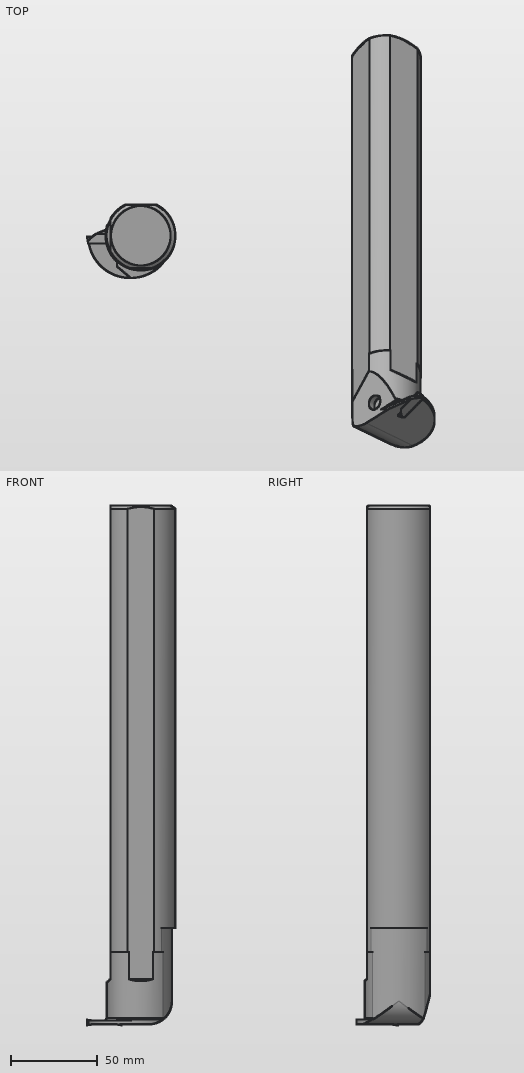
import cadquery as cq
import math

TOTAL_LENGTH = 300.02

SHANK_RADIUS = 20.0
END_CHAMFER_WIDTH = 2.8
END_CHAMFER_HEIGHT = 2.0
FLAT_LEFT = 17.5
FLAT_FRONT = 18.5
FLAT_BACK = 18.0
FLAT_END_Z = 26.7

HEAD_RADIUS = 19.75
HEAD_TOP_Z = 42.3
COLLAR_WIDTH = 0.6
COLLAR_RADIUS = HEAD_RADIUS + COLLAR_WIDTH
COLLAR_HEIGHT = 1.3

TIP_X = -31.0
BLADE_CENTER_X = -6.0
BLADE_RADIUS = 24.49
BLADE_BOTTOM_Z = 0.5
BLADE_TOP_Z = 2.8
LEDGE_TOP_Z = 3.4
LEDGE_START = (-13.8, -17.7)
LEDGE_ANGLE = 40.0

RELIEF_RADIUS = 24.05
RELIEF_TOP_Z = 56.0
HEEL_RADIUS = 13.5

GULLET_Y = 9.65
GULLET_SLOPE_X = 0.24
GULLET_SLOPE_Z = 0.365
GULLET_HOLE_DIAMETER = 8.5
GULLET_HOLE_DEPTH = 5.0
GULLET_HOLE_X = -5.0
GULLET_HOLE_Z = 9.0

INSERT_LENGTH = 20.0
INSERT_SEAT_Y = -4.6
INSERT_TOP_Y = 1.0
EDGE_Y = -0.5
EDGE_WIDTH = 3.2
EDGE_LENGTH = 3.0
EDGE_HEIGHT = 2.6
FRONT_CLEARANCE = 0.6
RAKE_LENGTH = 5.0

JAW_TIP_X = TIP_X + RAKE_LENGTH
JAW_ANGLE = 23.0

CUT_REACH = 60.0


def cylinder(radius, bottom, top, center_x=0.0):
    return cq.Workplane("XY", origin=(center_x, 0, bottom)).circle(radius).extrude(top - bottom)


def cut_flat(bar, distance, end_z, angle):
    """Cut a flat at `distance` from the axis, facing -X turned by `angle`, ending in a 45 degree slope."""
    depth = CUT_REACH - distance
    profile = [
        (-distance, end_z),
        (-distance, TOTAL_LENGTH),
        (-CUT_REACH, TOTAL_LENGTH),
        (-CUT_REACH, end_z - depth),
    ]
    cutter = cq.Workplane("XZ").polyline(profile).close().extrude(CUT_REACH, both=True)
    return bar.cut(cutter.rotate((0, 0, 0), (0, 0, 1), angle))


def make_bar():
    """Shank, head and collar with the flats."""
    end_radius = SHANK_RADIUS - END_CHAMFER_WIDTH
    collar_top_z = BLADE_TOP_Z + COLLAR_HEIGHT
    outline = [
        (0, BLADE_BOTTOM_Z),
        (COLLAR_RADIUS, BLADE_BOTTOM_Z),
        (COLLAR_RADIUS, BLADE_TOP_Z),
        (HEAD_RADIUS, collar_top_z),
        (HEAD_RADIUS, HEAD_TOP_Z),
        (SHANK_RADIUS, HEAD_TOP_Z),
        (SHANK_RADIUS, TOTAL_LENGTH - END_CHAMFER_HEIGHT),
        (end_radius, TOTAL_LENGTH),
        (0, TOTAL_LENGTH),
    ]
    bar = cq.Workplane("XZ").polyline(outline).close().revolve(360, (0, 0), (0, 1))
    bar = cut_flat(bar, FLAT_LEFT, FLAT_END_Z, 0)
    bar = cut_flat(bar, FLAT_FRONT, FLAT_END_Z, 90)
    back = cq.Workplane("XY").box(2 * CUT_REACH, CUT_REACH, 2 * TOTAL_LENGTH)
    back = back.translate((0, FLAT_BACK + CUT_REACH / 2, 0))
    bar = bar.cut(back)
    ring = cylinder(CUT_REACH, 0, RELIEF_TOP_Z).cut(
        cylinder(RELIEF_RADIUS, 0, RELIEF_TOP_Z, BLADE_CENTER_X)
    )
    return bar.cut(ring)


def make_blade():
    """Eccentric disc with a thicker part on its +X side."""
    disc = cylinder(BLADE_RADIUS, BLADE_BOTTOM_Z, BLADE_TOP_Z, BLADE_CENTER_X)
    ledge = cylinder(BLADE_RADIUS, BLADE_TOP_Z, LEDGE_TOP_Z, BLADE_CENTER_X)
    start_x, start_y = LEDGE_START
    drop = (CUT_REACH - start_x) * math.tan(math.radians(LEDGE_ANGLE))
    outline = [(start_x, CUT_REACH), LEDGE_START, (CUT_REACH, start_y - drop), (CUT_REACH, CUT_REACH)]
    keep = cq.Workplane("XY").polyline(outline).close().extrude(CUT_REACH)
    return disc.union(ledge.intersect(keep))


def jaw_cutter():
    """Block above the insert seat in front of the jaw and above the sloping edge of the jaw."""
    rise = (CUT_REACH - JAW_TIP_X) * math.tan(math.radians(JAW_ANGLE))
    outline = [
        (-CUT_REACH, INSERT_SEAT_Y),
        (JAW_TIP_X, INSERT_SEAT_Y),
        (JAW_TIP_X, INSERT_TOP_Y),
        (CUT_REACH, INSERT_TOP_Y + rise),
        (-CUT_REACH, INSERT_TOP_Y + rise),
    ]
    return cq.Workplane("XY").polyline(outline).close().extrude(BLADE_TOP_Z)


def heel_cutter():
    """Everything outside the rounded lower +X corner."""
    right = BLADE_CENTER_X + RELIEF_RADIUS
    diagonal = HEEL_RADIUS * math.sqrt(0.5)
    center_x = right - HEEL_RADIUS
    center_z = BLADE_BOTTOM_Z + HEEL_RADIUS
    return (
        cq.Workplane("XZ")
        .moveTo(center_x, BLADE_BOTTOM_Z)
        .threePointArc((center_x + diagonal, center_z - diagonal), (right, center_z))
        .lineTo(CUT_REACH, center_z)
        .lineTo(CUT_REACH, BLADE_BOTTOM_Z)
        .close()
        .extrude(CUT_REACH, both=True)
    )


def gullet_y(x, z):
    return GULLET_Y + GULLET_SLOPE_X * x + GULLET_SLOPE_Z * z


def gullet_cutter():
    """Block outside the gullet plane, with the hole sunk square into that plane."""
    center = (GULLET_HOLE_X, gullet_y(GULLET_HOLE_X, GULLET_HOLE_Z), GULLET_HOLE_Z)
    face = cq.Plane(center, (1, GULLET_SLOPE_X, 0), (-GULLET_SLOPE_X, 1, -GULLET_SLOPE_Z))
    block = cq.Workplane(face).rect(2 * CUT_REACH, 2 * CUT_REACH).extrude(CUT_REACH)
    hole = cq.Workplane(face).circle(GULLET_HOLE_DIAMETER / 2).extrude(-GULLET_HOLE_DEPTH)
    return block.union(hole)


def make_insert():
    """Body as thick as the blade, with a wider cutting edge at each end."""
    middle_x = TIP_X + INSERT_LENGTH / 2
    clearance_slope = FRONT_CLEARANCE / (EDGE_Y - INSERT_SEAT_Y)
    half_body = [
        (middle_x, INSERT_TOP_Y),
        (TIP_X + RAKE_LENGTH, INSERT_TOP_Y),
        (TIP_X + EDGE_LENGTH, EDGE_Y),
        (TIP_X, EDGE_Y),
        (TIP_X + FRONT_CLEARANCE, INSERT_SEAT_Y),
        (middle_x, INSERT_SEAT_Y),
    ]
    edge = [
        (TIP_X, EDGE_Y),
        (TIP_X + EDGE_LENGTH, EDGE_Y),
        (TIP_X + clearance_slope * EDGE_HEIGHT, EDGE_Y - EDGE_HEIGHT),
    ]
    half = (
        cq.Workplane("XY", origin=(0, 0, BLADE_BOTTOM_Z))
        .polyline(half_body)
        .close()
        .extrude(BLADE_TOP_Z - BLADE_BOTTOM_Z)
    )
    edge_plan = [
        (TIP_X, 0),
        (TIP_X, EDGE_WIDTH),
        (TIP_X + EDGE_LENGTH, BLADE_TOP_Z),
        (TIP_X + EDGE_LENGTH, BLADE_BOTTOM_Z),
    ]
    taper = cq.Workplane("XZ").polyline(edge_plan).close().extrude(CUT_REACH, both=True)
    wedge = cq.Workplane("XY").polyline(edge).close().extrude(EDGE_WIDTH)
    half = half.union(wedge.intersect(taper))
    return half.union(half.mirror("YZ").translate((2 * middle_x, 0, 0)))


def make_holder(insert):
    holder = make_bar().union(make_blade())
    for cutter in (jaw_cutter(), heel_cutter(), gullet_cutter(), insert):
        holder = holder.cut(cutter)
    return holder


insert = make_insert()
holder = make_holder(insert)

result = cq.Compound.makeCompound([holder.val(), insert.val()])